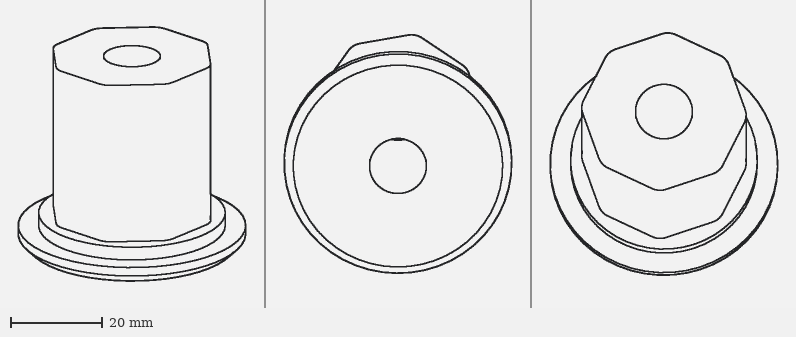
import cadquery as cq
import math

flange_diameter = 50
flange_height = 4
flange_chamfer = 2

collar_diameter = 41
collar_height = 3

total_height = 44
body_sides = 8
body_across_flats = 34
body_edge_radius = 4
body_height = total_height - flange_height - collar_height

bore_diameter = 12.5


def make_flange():
    disc = cq.Workplane("XY").circle(flange_diameter / 2).extrude(flange_height)
    return disc.faces("<Z").edges().chamfer(flange_chamfer)


def make_collar():
    collar = cq.Workplane("XY").workplane(offset=flange_height)
    return collar.circle(collar_diameter / 2).extrude(collar_height)


def make_body():
    across_corners = body_across_flats / math.cos(math.pi / body_sides)
    body = cq.Workplane("XY").workplane(offset=flange_height + collar_height)
    body = body.polygon(body_sides, across_corners).extrude(body_height)
    return body.edges("|Z").fillet(body_edge_radius)


bore = cq.Workplane("XY").circle(bore_diameter / 2).extrude(total_height)

result = make_flange().union(make_collar()).union(make_body()).cut(bore)